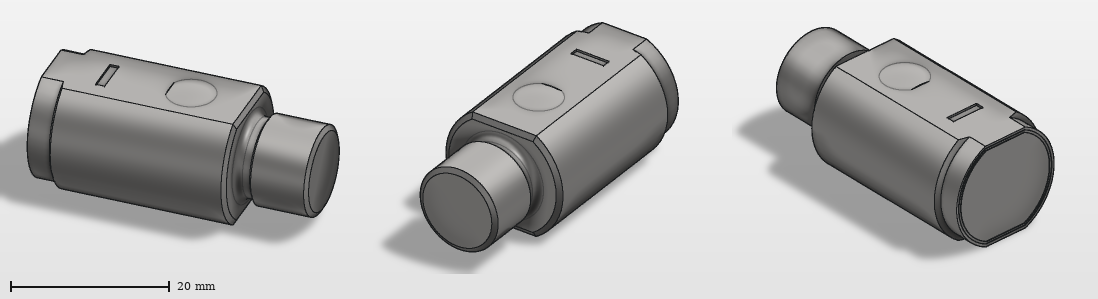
import cadquery as cq
import math

total_length = 37.0
front_length = 3.0
body_end = 27.0
thread_start = 29.0

body_diameter = 18.0
front_diameter = 16.55
thread_diameter = 12.0
neck_diameter = 10.6
flat_to_flat = 15.1
flat_height = flat_to_flat / 2

cone_angle = 30.0
cone_slope = math.tan(math.radians(cone_angle))
end_chamfer_radial = 0.75
end_chamfer_axial = end_chamfer_radial * cone_slope
neck_fillet = 1.0

groove_outer_offset = 0.4
groove_width = 0.35
groove_depth = 0.1

slot_start = 7.0
slot_length = 1.25
slot_width = 5.0
slot_depth = 0.3

dome_x = 19.0
dome_radius = 3.25
dome_height = 0.58
dome_trim_x = 16.1
dome_root_z = flat_height / 2


def flatted_disc(length, diameter, height):
    """Disc along X from the front face, with two flats, `height` apart in Z."""
    disc = cq.Workplane("YZ").circle(diameter / 2).extrude(length)
    slab = cq.Workplane("YZ").rect(diameter, height).extrude(length)
    return disc.intersect(slab)


def make_body():
    """Turned barrel with a reduced front end, flatted above and below, its rear edge chamfered all round."""
    body_radius = body_diameter / 2
    front_radius = front_diameter / 2
    cone_end = front_length + (body_radius - front_radius) * cone_slope
    chamfer_start = body_end - end_chamfer_axial
    turned = (
        cq.Workplane("XY")
        .lineTo(0, front_radius)
        .lineTo(front_length, front_radius)
        .lineTo(cone_end, body_radius)
        .lineTo(chamfer_start, body_radius)
        .lineTo(body_end, body_radius - end_chamfer_radial)
        .lineTo(body_end, 0)
        .close()
        .revolve(360, (0, 0, 0), (1, 0, 0))
    )
    rear_half_height = flat_height - end_chamfer_radial
    flats = (
        cq.Workplane("XZ")
        .moveTo(0, -flat_height)
        .lineTo(0, flat_height)
        .lineTo(chamfer_start, flat_height)
        .lineTo(body_end, rear_half_height)
        .lineTo(body_end, -rear_half_height)
        .lineTo(chamfer_start, -flat_height)
        .close()
        .extrude(body_radius, both=True)
    )
    return turned.intersect(flats)


def make_connector():
    """Filleted neck followed by the chamfered threaded cylinder."""
    neck_radius = neck_diameter / 2
    thread_radius = thread_diameter / 2
    chamfer_axial = (thread_radius - neck_radius) * cone_slope
    arc_reach = neck_fillet * (1 - math.sqrt(0.5))
    return (
        cq.Workplane("XY")
        .moveTo(body_end, 0)
        .lineTo(body_end, neck_radius + neck_fillet)
        .threePointArc(
            (body_end + arc_reach, neck_radius + arc_reach),
            (body_end + neck_fillet, neck_radius),
        )
        .lineTo(thread_start, neck_radius)
        .lineTo(thread_start + chamfer_axial, thread_radius)
        .lineTo(total_length - chamfer_axial, thread_radius)
        .lineTo(total_length, neck_radius)
        .lineTo(total_length, 0)
        .close()
        .revolve(360, (0, 0, 0), (1, 0, 0))
    )


def make_groove():
    """Ring that follows the front outline at a constant distance from its edge."""
    outer_inset = 2 * groove_outer_offset
    inner_inset = outer_inset + 2 * groove_width
    outer = flatted_disc(groove_depth, front_diameter - outer_inset, flat_to_flat - outer_inset)
    inner = flatted_disc(groove_depth, front_diameter - inner_inset, flat_to_flat - inner_inset)
    return outer.cut(inner)


def make_slot():
    """Shallow rectangular pocket, long side across the part."""
    return (
        cq.Workplane("XY", origin=(slot_start + slot_length / 2, 0, flat_height - slot_depth))
        .rect(slot_length, slot_width)
        .extrude(slot_depth)
    )


def make_dome():
    """Spherical cap whose base circle lies in the upper flat, with a root inside the body."""
    sphere_radius = (dome_radius**2 + dome_height**2) / (2 * dome_height)
    sphere_centre_z = flat_height + dome_height - sphere_radius
    sphere = cq.Workplane("XY", origin=(dome_x, 0, sphere_centre_z)).sphere(sphere_radius)
    block_height = flat_height + dome_height - dome_root_z
    trim_block = cq.Workplane("XY", origin=(dome_trim_x, 0, dome_root_z)).box(
        dome_x + dome_radius - dome_trim_x,
        2 * dome_radius,
        block_height,
        centered=(False, True, False),
    )
    return sphere.intersect(trim_block)


body = make_body().union(make_connector()).union(make_dome())
result = body.cut(make_groove()).cut(make_slot())